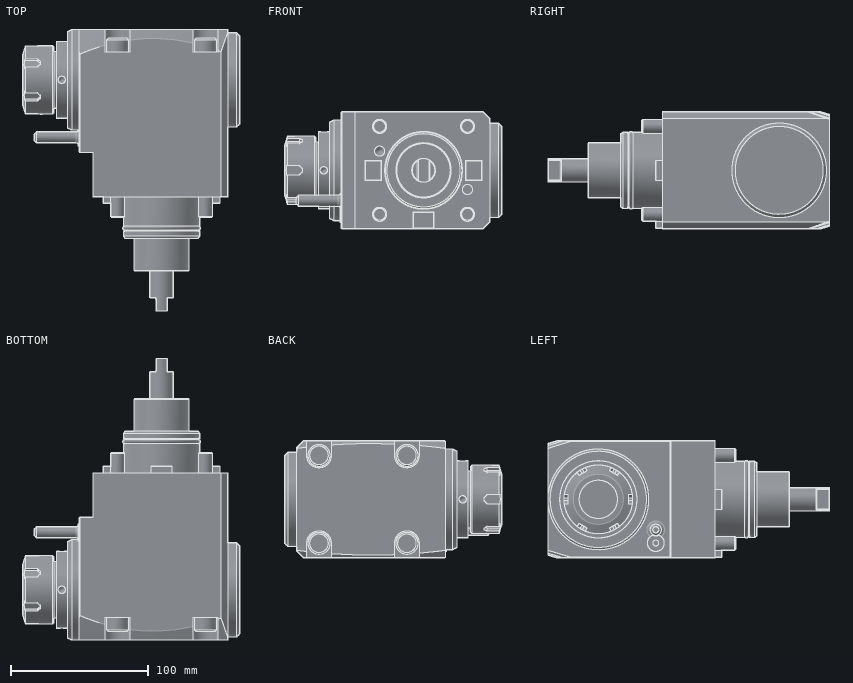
import cadquery as cq
import math


BLOCK_HEIGHT = 85.0
BLOCK_DEPTH = 121.5
NOSE_X = -60.0
STEP_X = -50.0
CAP_SIDE_X = 48.0
STEP_Y = 32.1
CAP_SIDE_CHAMFER = 5.0
NOSE_EDGE_CHAMFER = 0.6

CROWN_RADIUS = 429.5
CROWN_ANGLE = 17.0
CROWN_START_Y = 115.0
CROWN_LENGTH = 368.0

FLANGE_RADIUS = 36.6
SPINDLE_Y = BLOCK_DEPTH - FLANGE_RADIUS
FLANGE_X = -68.3
FLANGE_CHAMFER_LENGTH = 3.3
FLANGE_CHAMFER_DROP = 1.6
RING_X = -76.3
RING_RADIUS = 28.0
RING_HOLE_X = -72.4
RING_HOLE_RADIUS = 2.7
RING_HOLE_DEPTH = 3.0
RING_HOLE_COUNT = 4
NECK_RADIUS = 20.7
CAP_X = 56.9
CAP_RADIUS = 34.4
CAP_CHAMFER = 2.5

NUT_BACK_X = -78.1
NUT_FRONT_X = -100.8
NUT_RADIUS = 25.0
NUT_FACE_RADIUS = 18.2
NUT_TAPER_LENGTH = 2.0
NUT_BACK_CHAMFER = 1.0
NUT_BORE_RADIUS = 14.0
NUT_BORE_DEPTH = 2.0
NUT_SLOT_COUNT = 6
NUT_SLOT_WIDTH = 6.7
NUT_SLOT_END_X = -87.7
NUT_SLOT_FLOOR_RADIUS = 22.0
NUT_SLOT_CORNER = 2.5

SHANK_RADIUS = 27.8
SHANK_LENGTH = 30.3
SHANK_CHAMFER_LENGTH = 1.8
SHANK_CHAMFER_DROP = 1.2
SEAL_START = 21.3
SEAL_END = 24.1
SEAL_RADIUS = 28.2
GROOVE_END = 25.0
GROOVE_RADIUS = 26.5
PILOT_RADIUS = 20.0
PILOT_END = 54.0
PILOT_CHAMFER = 0.6
SHAFT_RADIUS = 8.5
SHAFT_END = 73.5
TANG_END = 83.0
TANG_WIDTH = 8.4
TANG_CHAMFER = 0.5
TANG_FILLET = 0.8

SCREW_OFFSET = 32.0
SCREW_RADIUS = 5.1
SCREW_LENGTH = 15.0
SCREW_CHAMFER = 0.8
HEAD_RADIUS = 8.0
HEAD_HEIGHT = 10.0
HEAD_CHAMFER = 1.2
HEAD_POCKET_RADIUS = 9.0
HEAD_POCKET_DEPTH = 16.4

KEY_HEIGHT = 5.0
KEY_CHAMFER = 0.5
SIDE_KEY_CENTER = 36.5
SIDE_KEY_LENGTH = 12.0
SIDE_KEY_WIDTH = 14.5
LOWER_KEY_WIDTH = 15.1
LOWER_KEY_LENGTH = 11.9
LOWER_KEY_Z = -36.2
DRILL_POINT_ANGLE = 118.0
PIN_HOLE_RADIUS = 3.7
PIN_HOLE_DEPTH = 10.2
PIN_HOLE_Z = 14.0

ROD_Y = 43.1
ROD_Z = -22.0
ROD_RADIUS = 4.0
ROD_TIP_X = -92.5
ROD_TIP_CHAMFER = 1.8
ROD_FLARE = 2.2
PLUG_Z = -31.7
PLUG_RADIUS = 6.1
PLUG_HEIGHT = 0.8
SOCKET_WIDTH = 4.0
SOCKET_DEPTH = 3.0


def turn_along_x(profile, y, z):
    """Revolve (x, radius) points about an axis parallel to X through (y, z)."""
    outline = cq.Workplane("XY").polyline(profile).close()
    return outline.revolve(360, (0, 0, 0), (1, 0, 0)).translate((0, y, z))


def cylinder_along_y(radius, y_start, length, x, z):
    """Cylinder from y_start toward +Y."""
    return cq.Workplane("XZ", origin=(x, y_start, z)).circle(radius).extrude(-length)


def make_drill(radius, depth):
    """Pointed drill along Z that reaches full width at the given depth below z = 0."""
    point_length = radius / math.tan(math.radians(DRILL_POINT_ANGLE / 2))
    outline = (
        cq.Workplane("XZ")
        .moveTo(0, -depth - point_length)
        .lineTo(radius, -depth)
        .lineTo(radius, depth)
        .lineTo(0, depth)
        .close()
    )
    return outline.revolve(360, (0, 0, 0), (0, 1, 0))


def make_block():
    half_height = BLOCK_HEIGHT / 2
    wide = cq.Workplane("XY").box(
        CAP_SIDE_X - NOSE_X, BLOCK_DEPTH - STEP_Y, BLOCK_HEIGHT, centered=False
    ).translate((NOSE_X, STEP_Y, -half_height))
    wide = wide.faces("<X").edges("|Y or <Y").chamfer(NOSE_EDGE_CHAMFER)
    narrow = cq.Workplane("XY").box(
        CAP_SIDE_X - STEP_X, BLOCK_DEPTH, BLOCK_HEIGHT, centered=False
    ).translate((STEP_X, 0, -half_height))
    block = wide.union(narrow)
    block = block.faces(">X").edges("|Y").chamfer(CAP_SIDE_CHAMFER)
    crown = make_crown()
    return block.intersect(crown).intersect(crown.mirror("XY"))


def make_crown():
    """Wide cylinder, tilted down toward the back, whose surface crowns the top face."""
    middle_x = (NOSE_X + CAP_SIDE_X) / 2
    crown = cylinder_along_y(CROWN_RADIUS, -CROWN_LENGTH / 2, CROWN_LENGTH, 0, -CROWN_RADIUS)
    crown = crown.rotate((0, 0, 0), (1, 0, 0), -CROWN_ANGLE)
    return crown.translate((middle_x, CROWN_START_Y, BLOCK_HEIGHT / 2))


def make_spindle_nose():
    profile = [
        (NOSE_X, 0),
        (NOSE_X, FLANGE_RADIUS),
        (FLANGE_X + FLANGE_CHAMFER_LENGTH, FLANGE_RADIUS),
        (FLANGE_X, FLANGE_RADIUS - FLANGE_CHAMFER_DROP),
        (FLANGE_X, RING_RADIUS),
        (RING_X, RING_RADIUS),
        (RING_X, NECK_RADIUS),
        (NUT_BACK_X, NECK_RADIUS),
        (NUT_BACK_X, 0),
    ]
    nose = turn_along_x(profile, SPINDLE_Y, 0)
    hole = make_drill(RING_HOLE_RADIUS, RING_HOLE_DEPTH)
    hole = hole.translate((RING_HOLE_X, SPINDLE_Y, RING_RADIUS))
    for index in range(RING_HOLE_COUNT):
        angle = index * 360 / RING_HOLE_COUNT
        nose = nose.cut(hole.rotate((0, SPINDLE_Y, 0), (1, SPINDLE_Y, 0), angle))
    return nose


def make_end_cap():
    profile = [
        (CAP_SIDE_X, 0),
        (CAP_SIDE_X, CAP_RADIUS),
        (CAP_X - CAP_CHAMFER, CAP_RADIUS),
        (CAP_X, CAP_RADIUS - CAP_CHAMFER),
        (CAP_X, 0),
    ]
    return turn_along_x(profile, SPINDLE_Y, 0)


def make_drive_shank():
    seal_bulge = (SEAL_RADIUS, -(SEAL_START + SEAL_END) / 2)
    shank = (
        cq.Workplane("XY")
        .lineTo(SHANK_RADIUS, 0)
        .lineTo(SHANK_RADIUS, -SEAL_START)
        .lineTo(GROOVE_RADIUS, -SEAL_START)
        .threePointArc(seal_bulge, (GROOVE_RADIUS, -SEAL_END))
        .lineTo(GROOVE_RADIUS, -GROOVE_END)
        .lineTo(SHANK_RADIUS, -GROOVE_END)
        .lineTo(SHANK_RADIUS, -SHANK_LENGTH + SHANK_CHAMFER_LENGTH)
        .lineTo(SHANK_RADIUS - SHANK_CHAMFER_DROP, -SHANK_LENGTH)
        .lineTo(PILOT_RADIUS, -SHANK_LENGTH)
        .lineTo(PILOT_RADIUS, -PILOT_END + PILOT_CHAMFER)
        .lineTo(PILOT_RADIUS - PILOT_CHAMFER, -PILOT_END)
        .lineTo(SHAFT_RADIUS, -PILOT_END)
        .lineTo(SHAFT_RADIUS, -TANG_END)
        .lineTo(0, -TANG_END)
        .close()
        .revolve(360, (0, 0, 0), (0, 1, 0))
    )
    notch = make_tang_notch()
    shank = shank.cut(notch).cut(notch.mirror("YZ"))
    shoulders = cq.selectors.BoxSelector(
        (-SHAFT_RADIUS, -SHAFT_END - TANG_CHAMFER, -SHAFT_RADIUS),
        (SHAFT_RADIUS, -SHAFT_END + TANG_CHAMFER, SHAFT_RADIUS),
    )
    return shank.edges(shoulders).edges("%CIRCLE").chamfer(TANG_CHAMFER)


def make_tang_notch():
    """Material removed on the +X side of the tang, leaving a filleted root and chamfered edges."""
    half_width = TANG_WIDTH / 2
    fillet_center_x = half_width + TANG_FILLET
    fillet_center_y = -SHAFT_END - TANG_FILLET
    fillet_reach = TANG_FILLET * math.sqrt(0.5)
    fillet_middle = (fillet_center_x - fillet_reach, fillet_center_y + fillet_reach)
    outline = (
        cq.Workplane("XY", origin=(0, 0, -SHAFT_RADIUS))
        .moveTo(half_width - TANG_CHAMFER, -TANG_END)
        .lineTo(half_width, -TANG_END + TANG_CHAMFER)
        .lineTo(half_width, fillet_center_y)
        .threePointArc(fillet_middle, (fillet_center_x, -SHAFT_END))
        .lineTo(SHAFT_RADIUS, -SHAFT_END)
        .lineTo(SHAFT_RADIUS, -TANG_END)
        .close()
    )
    return outline.extrude(2 * SHAFT_RADIUS)


def screw_places():
    return [(x, z) for x in (-SCREW_OFFSET, SCREW_OFFSET) for z in (-SCREW_OFFSET, SCREW_OFFSET)]


def make_head_pocket(x, z):
    """Round-bottomed pocket at the back, open to the nearer of the top and bottom faces."""
    floor_y = BLOCK_DEPTH - HEAD_POCKET_DEPTH
    pocket = cylinder_along_y(HEAD_POCKET_RADIUS, floor_y, HEAD_POCKET_DEPTH, x, z)
    mouth = cq.Workplane("XY").box(2 * HEAD_POCKET_RADIUS, HEAD_POCKET_DEPTH, 2 * HEAD_POCKET_RADIUS)
    mouth_z = z + math.copysign(HEAD_POCKET_RADIUS, z)
    return pocket.union(mouth.translate((x, floor_y + HEAD_POCKET_DEPTH / 2, mouth_z)))


def make_screw_head(x, z):
    floor_y = BLOCK_DEPTH - HEAD_POCKET_DEPTH
    head = cylinder_along_y(HEAD_RADIUS, floor_y, HEAD_HEIGHT, x, z)
    return head.faces(">Y").chamfer(HEAD_CHAMFER)


def make_screw_end(x, z):
    screw = cylinder_along_y(SCREW_RADIUS, -SCREW_LENGTH, SCREW_LENGTH, x, z)
    return screw.faces("<Y").chamfer(SCREW_CHAMFER)


def make_key(x, z, size_x, size_z):
    key = cq.Workplane("XY").box(size_x, KEY_HEIGHT, size_z)
    key = key.faces("<Y").chamfer(KEY_CHAMFER)
    return key.translate((x, -KEY_HEIGHT / 2, z))


def make_coolant_rod():
    """Rod with a chamfered tip and a concave fillet where it meets the block."""
    flare_reach = ROD_FLARE * (1 - math.sqrt(0.5))
    outline = (
        cq.Workplane("XY")
        .moveTo(NOSE_X, 0)
        .lineTo(NOSE_X, ROD_RADIUS + ROD_FLARE)
        .threePointArc(
            (NOSE_X - flare_reach, ROD_RADIUS + flare_reach),
            (NOSE_X - ROD_FLARE, ROD_RADIUS),
        )
        .lineTo(ROD_TIP_X + ROD_TIP_CHAMFER, ROD_RADIUS)
        .lineTo(ROD_TIP_X, ROD_RADIUS - ROD_TIP_CHAMFER)
        .lineTo(ROD_TIP_X, 0)
        .close()
    )
    return outline.revolve(360, (0, 0, 0), (1, 0, 0)).translate((0, ROD_Y, ROD_Z))


def make_plug():
    plug = cq.Workplane("YZ", origin=(NOSE_X, ROD_Y, PLUG_Z))
    return plug.circle(PLUG_RADIUS).extrude(-PLUG_HEIGHT)


def make_plug_socket():
    socket = cq.Workplane("YZ", origin=(NOSE_X - PLUG_HEIGHT, ROD_Y, PLUG_Z))
    return socket.polygon(6, SOCKET_WIDTH, circumscribed=True).extrude(SOCKET_DEPTH)


def make_housing():
    housing = make_block().union(make_spindle_nose()).union(make_end_cap()).union(make_drive_shank())
    for x, z in screw_places():
        housing = housing.cut(make_head_pocket(x, z))
        housing = housing.union(make_screw_head(x, z)).union(make_screw_end(x, z))
    for x in (-SIDE_KEY_CENTER, SIDE_KEY_CENTER):
        housing = housing.union(make_key(x, 0, SIDE_KEY_LENGTH, SIDE_KEY_WIDTH))
    housing = housing.union(make_key(0, LOWER_KEY_Z, LOWER_KEY_WIDTH, LOWER_KEY_LENGTH))
    drilled_hole = make_drill(PIN_HOLE_RADIUS, PIN_HOLE_DEPTH).rotate((0, 0, 0), (1, 0, 0), 90)
    drilled_hole = drilled_hole.translate((-SCREW_OFFSET, 0, PIN_HOLE_Z))
    flat_hole = cylinder_along_y(PIN_HOLE_RADIUS, 0, PIN_HOLE_DEPTH, SCREW_OFFSET, -PIN_HOLE_Z)
    housing = housing.cut(drilled_hole).cut(flat_hole)
    return housing.union(make_coolant_rod()).union(make_plug()).cut(make_plug_socket())


def make_nut_slot():
    """Slot on the top of the nut, open at the nut face, with chamfered inner corners."""
    length = NUT_SLOT_END_X - NUT_FRONT_X
    height = NUT_RADIUS - NUT_SLOT_FLOOR_RADIUS
    slot = cq.Workplane("XY").box(length, NUT_SLOT_WIDTH, 2 * height, centered=(False, True, False))
    slot = slot.faces(">X").edges("|Z").chamfer(NUT_SLOT_CORNER)
    return slot.translate((NUT_FRONT_X, SPINDLE_Y, NUT_SLOT_FLOOR_RADIUS))


def make_nut():
    bore_floor_x = NUT_FRONT_X + NUT_BORE_DEPTH
    profile = [
        (NUT_BACK_X, 0),
        (NUT_BACK_X, NUT_RADIUS - NUT_BACK_CHAMFER),
        (NUT_BACK_X - NUT_BACK_CHAMFER, NUT_RADIUS),
        (NUT_FRONT_X + NUT_TAPER_LENGTH, NUT_RADIUS),
        (NUT_FRONT_X, NUT_FACE_RADIUS),
        (NUT_FRONT_X, NUT_BORE_RADIUS),
        (bore_floor_x, NUT_BORE_RADIUS),
        (bore_floor_x, 0),
    ]
    nut = turn_along_x(profile, SPINDLE_Y, 0)
    slot = make_nut_slot()
    for index in range(NUT_SLOT_COUNT):
        angle = 90 + index * 360 / NUT_SLOT_COUNT
        nut = nut.cut(slot.rotate((0, SPINDLE_Y, 0), (1, SPINDLE_Y, 0), angle))
    return nut


housing = make_housing()
nut = make_nut()
result = cq.Compound.makeCompound([housing.val(), nut.val()])